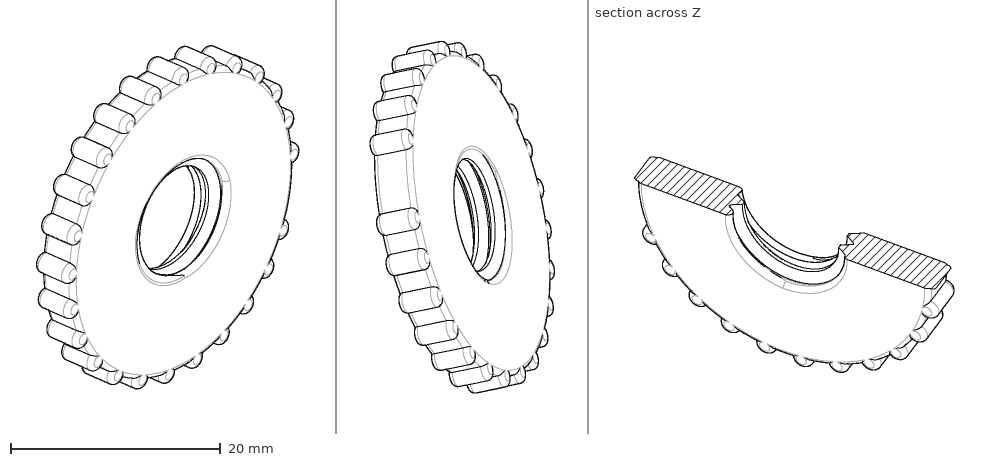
import cadquery as cq
import math

thickness = 4.0
disc_radius = 15.75
edge_radius = 0.5

pin_count = 25
pin_radius = 1.05
pin_circle_radius = disc_radius

minor_radius = 10.79 / 2
major_radius = 12.84 / 2
pitch = 1.75
root_width = 0.15
flank_angle = 30.0
crest_angle = -88.0
flank_slope = math.tan(math.radians(flank_angle))
crest_width = pitch - root_width - 2 * (major_radius - minor_radius) * flank_slope
ridge_overlap = 0.1

blunt_setback = edge_radius * math.tan(math.radians(flank_angle / 2))
sharp_setback = edge_radius / math.tan(math.radians(flank_angle / 2))
blunt_cut_depth = 1.6
flank_gap = 0.05
sharp_cut_entry = 0.4
face_gap = 0.2
cut_overlap = 12.0
spiral_points = 60
cut_tolerance = 1e-4


def along_x(shape):
    """Turn a shape built around the Z axis so that its axis is X and its angles start at +Y."""
    return shape.rotate((0, 0, 0), (1, 1, 1), 120)


def half_turn(shape):
    """Swap the two faces about the radial line that maps the thread onto itself."""
    angle = math.radians(crest_angle + 360 * (thickness / 2) / pitch)
    middle = thickness / 2
    return shape.rotate((middle, 0, 0), (middle, math.cos(angle), math.sin(angle)), 180)


def cylinder(radius):
    """Cylinder from X = 0 to X = thickness."""
    return cq.Workplane("YZ").circle(radius).extrude(thickness)


def rounded_cylinder(radius):
    """Cylinder from X = 0 to X = thickness with both rims rounded."""
    return cylinder(radius).edges().fillet(edge_radius)


def grip_pins():
    """Rounded pins lying along X, evenly spaced around the rim from +Z."""
    first = rounded_cylinder(pin_radius).translate((0, 0, pin_circle_radius)).val()
    return [first.rotate((0, 0, 0), (1, 0, 0), i * 360 / pin_count) for i in range(pin_count)]


def thread_ridge():
    """Helical ridge standing in from the major radius, trimmed flush with the disc faces."""
    base_radius = major_radius + ridge_overlap
    half_crest = crest_width / 2
    half_base = half_crest + (base_radius - minor_radius) * flank_slope
    helix = cq.Wire.makeHelix(pitch, thickness + 2 * pitch, major_radius)
    profile = (
        cq.Workplane("XZ")
        .moveTo(base_radius, -half_base)
        .lineTo(minor_radius, -half_crest)
        .lineTo(minor_radius, half_crest)
        .lineTo(base_radius, half_base)
        .close()
    )
    ridge = profile.sweep(cq.Workplane(obj=helix), isFrenet=True)
    ridge = along_x(ridge.rotate((0, 0, 0), (0, 0, 1), crest_angle))
    return ridge.translate((-pitch, 0, 0)).intersect(cylinder(disc_radius))


def flank_radius(turn, side):
    """Radius of a flank (side 1 or -1 of the crest) on X = 0, a turn in degrees past the crest."""
    run = side * pitch * turn / 360 - crest_width / 2
    return minor_radius + run / flank_slope


def flank_turn(radius, side):
    """Turn in degrees past the crest at which a flank has the given radius on X = 0."""
    run = crest_width / 2 + (radius - minor_radius) * flank_slope
    return side * 360 * run / pitch


def spiral_cut(outline, side, start_turn, end_turn):
    """Sweep an outline of (radial, axial) offsets along the spiral where a flank meets X = 0."""

    def spiral_point(fraction):
        turn = start_turn + fraction * (end_turn - start_turn)
        radius = flank_radius(turn, side)
        angle = math.radians(turn - start_turn)
        return (radius * math.cos(angle), radius * math.sin(angle), 0)

    path = cq.Workplane("XY").parametricCurve(spiral_point, N=spiral_points)
    profile = outline(cq.Workplane("XZ", origin=spiral_point(0)))
    cutter = profile.sweep(path)
    return along_x(cutter.rotate((0, 0, 0), (0, 0, 1), crest_angle + start_turn))


def blunt_outline(plane):
    """Rounding of the blunt corner, where a flank that faces the mouth meets the face."""
    tilt = math.radians(flank_angle)
    arc_middle = (
        blunt_setback - edge_radius * math.sin(tilt / 2),
        edge_radius * (1 - math.cos(tilt / 2)),
    )
    arc_end = (-blunt_setback * math.cos(tilt), blunt_setback * math.sin(tilt))
    return (
        plane.moveTo(blunt_setback, -face_gap)
        .lineTo(blunt_setback, 0)
        .threePointArc(arc_middle, arc_end)
        .lineTo(-blunt_cut_depth, blunt_cut_depth * flank_slope - flank_gap)
        .lineTo(-blunt_cut_depth, -face_gap)
        .close()
    )


def sharp_outline(plane):
    """Rounding of the sharp corner, where a flank that faces away from the mouth meets the face."""
    tilt = math.radians(flank_angle)
    arc_middle = (
        sharp_setback - edge_radius * math.cos(tilt / 2),
        edge_radius * (1 + math.sin(tilt / 2)),
    )
    arc_end = (sharp_setback * math.cos(tilt), sharp_setback * math.sin(tilt))
    return (
        plane.moveTo(sharp_setback, -face_gap)
        .lineTo(sharp_setback, 0)
        .threePointArc(arc_middle, arc_end)
        .lineTo(sharp_cut_entry, sharp_cut_entry)
        .lineTo(0, 0)
        .lineTo(-face_gap, -face_gap)
        .close()
    )


def root_mouth():
    """Solid that fills a plain bore of the major radius with a rounded mouth at X = 0."""
    mouth_radius = major_radius + edge_radius
    return (
        cq.Workplane("XY")
        .moveTo(-edge_radius, 0)
        .lineTo(-edge_radius, mouth_radius)
        .lineTo(0, mouth_radius)
        .radiusArc((edge_radius, major_radius), -edge_radius)
        .lineTo(thickness / 2, major_radius)
        .lineTo(thickness / 2, 0)
        .close()
        .revolve(360, (0, 0, 0), (1, 0, 0))
    )


def mouth_cuts():
    """Cutters that round the edge of the threaded bore at X = 0."""
    blunt_start = flank_turn(minor_radius - 2 * blunt_setback, 1)
    handover = flank_turn(major_radius + edge_radius / flank_slope, 1)
    blunt_end = handover + cut_overlap
    sharp_start = handover - 360
    sharp_end = flank_turn(minor_radius - sharp_setback, -1)
    blunt = spiral_cut(blunt_outline, 1, blunt_start, blunt_end)
    sharp = spiral_cut(sharp_outline, -1, sharp_start, sharp_end)
    limit = root_mouth()
    return [blunt.intersect(limit), sharp.intersect(limit)]


body = rounded_cylinder(disc_radius).cut(cylinder(major_radius)).union(thread_ridge())

cuts = mouth_cuts()
for face in range(2):
    for cut in cuts:
        body = body.cut(cut, tol=cut_tolerance)
    body = half_turn(body)

for pin in grip_pins():
    body = body.union(cq.Workplane(obj=pin))

result = cq.Workplane(obj=body.solids().val())